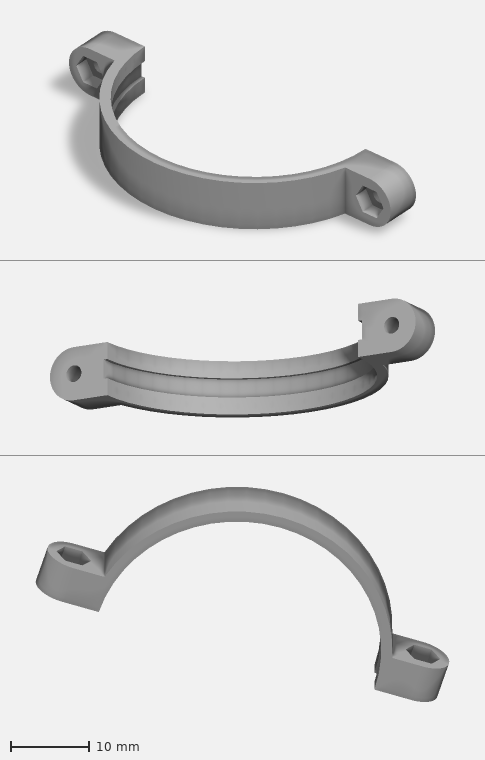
import cadquery as cq

length = 54.0
height = 7.1
outer_radius = 20.0
band_thickness = 1.45
inner_radius = outer_radius - band_thickness

groove_width = 2.55
groove_depth = 0.55

lug_depth = 5.0
bolt_diameter = 2.2
nut_across_corners = 4.65
nut_pocket_depth = 2.0
bolt_x = (length - height) / 2


def disc(radius, thickness):
    """Disc on the ring axis, centred on Z = 0."""
    return cq.Workplane("XY").cylinder(thickness, radius)


def lug_face():
    """Plane of the lugs' front faces; its normal points toward -Y."""
    return cq.Workplane("XZ", origin=(0, -lug_depth, 0))


lugs = lug_face().slot2D(length, height).extrude(-lug_depth)

front_half = cq.Workplane("XY").box(
    length, outer_radius, height, centered=(True, False, True)
).translate((0, -outer_radius, 0))
band = disc(outer_radius, height).intersect(front_half)

bore = disc(inner_radius, height)
groove = disc(inner_radius + groove_depth, groove_width)

bolt_centres = [(-bolt_x, 0), (bolt_x, 0)]
bolt_holes = lug_face().pushPoints(bolt_centres).circle(bolt_diameter / 2).extrude(-lug_depth)
nut_pockets = lug_face().pushPoints(bolt_centres).polygon(6, nut_across_corners).extrude(-nut_pocket_depth)

result = band.union(lugs).cut(bore).cut(groove).cut(bolt_holes).cut(nut_pockets)